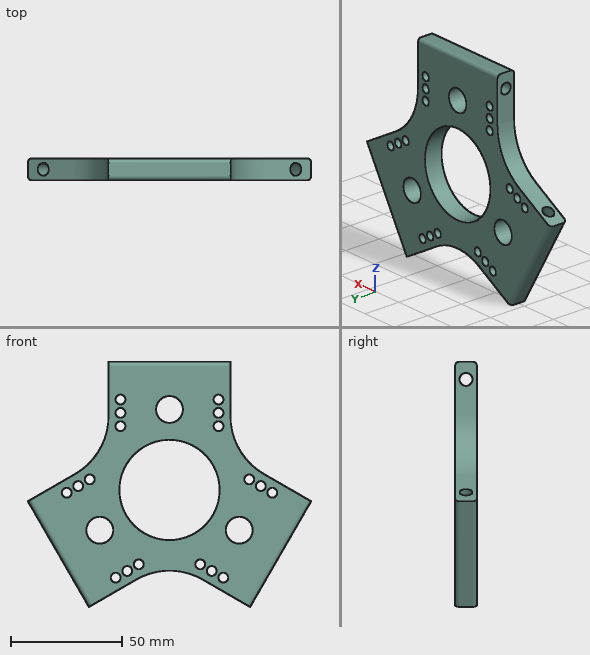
import cadquery as cq
import math

overall_width = 127.5
thickness = 10.0
arm_width = 55.0
arm_count = 3
valley_radius = 30.0
end_fillet = 2.0
bore_diameter = 45.0
arm_hole_diameter = 12.0
arm_hole_distance = 36.2
pin_hole_diameter = 4.3
pin_spacing = 6.0
pin_row_offset = 22.0
pin_row_distance = 34.7
cross_hole_diameter = 5.7
cross_hole_distance = 49.7

arm_angle = 360 / arm_count
tilt = math.radians(30)
arm_length = (overall_width / 2 - arm_width / 2 * math.sin(tilt)) / math.cos(tilt)


def around_arms(shape):
    """Combine copies of a shape, one for each arm, about the Y axis."""
    combined = shape
    for i in range(1, arm_count):
        combined = combined.union(shape.rotate((0, 0, 0), (0, 1, 0), i * arm_angle))
    return combined


def make_arm():
    """Upright arm from the plate centre, with both outer end edges rounded."""
    arm = cq.Workplane("XY").box(arm_width, thickness, arm_length, centered=(True, True, False))
    return arm.faces(">Z").edges("|X").fillet(end_fillet)


def make_plate():
    """Three joined arms with rounded valleys between them."""
    plate = around_arms(make_arm()).clean()
    valley_distance = arm_width / 2 / math.cos(tilt)
    margin = 1.3
    for i in range(arm_count):
        angle = tilt + math.radians(i * arm_angle)
        corner_x = valley_distance * math.cos(angle)
        corner_z = valley_distance * math.sin(angle)
        valley = cq.selectors.BoxSelector(
            (corner_x - margin, -thickness, corner_z - margin),
            (corner_x + margin, thickness, corner_z + margin),
        )
        plate = plate.edges("|Y").edges(valley).fillet(valley_radius)
    return plate


def along_y(points, diameter):
    """Cylinders through the plate thickness at (x, z) points."""
    return (
        cq.Workplane("XZ", origin=(0, thickness, 0)).pushPoints(points)
        .circle(diameter / 2).extrude(2 * thickness)
    )


def make_arm_cutters():
    """All holes belonging to the upright arm."""
    cutters = along_y([(0, arm_hole_distance)], arm_hole_diameter)
    pins = [
        (side * pin_row_offset, pin_row_distance + step * pin_spacing)
        for side in (-1, 1)
        for step in (-1, 0, 1)
    ]
    cutters = cutters.union(along_y(pins, pin_hole_diameter))
    cross_hole = (
        cq.Workplane("YZ", origin=(-arm_width / 2, 0, cross_hole_distance))
        .circle(cross_hole_diameter / 2).extrude(arm_width)
    )
    return cutters.union(cross_hole)


result = make_plate()
result = result.cut(along_y([(0, 0)], bore_diameter))
result = result.cut(around_arms(make_arm_cutters()))